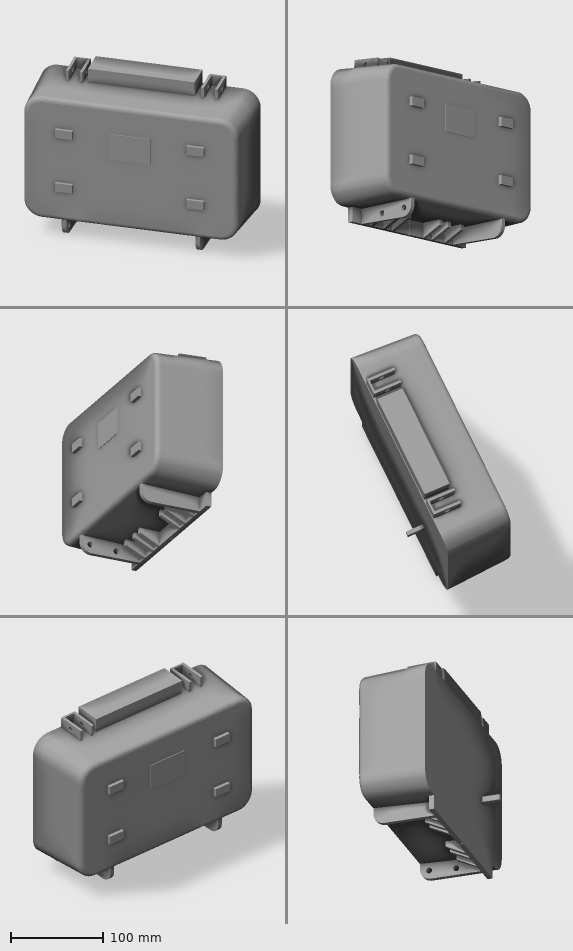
import cadquery as cq
import math


case_width = 248.0
case_height = 151.0
case_depth = 78.25
corner_radius = 20.0
front_inset = 3.5
front_fillet = 5.0
draft_angle = math.degrees(math.atan(front_inset / case_depth))

foot_width = 19.5
foot_height = 10.0
foot_depth = 4.0
foot_x = 74.1
upper_foot_z = 33.3
lower_foot_z = -31.0

screen_width = 47.5
screen_height = 30.8
screen_center_x = -0.6
screen_center_z = 24.3
screen_depth = 0.8
button_diameter = 8.3
button_center_z = 0.4
button_depth = 3.0

top_setback = 0.75
block_left_x = -61.5
block_split_x = -0.3
block_right_x = 58.8
block_length = 30.0
block_rise = 16.91
bracket_x = 76.2
bracket_width = 18.8
bracket_length = 32.8
bracket_rise = 13.0
bracket_wall = 3.1
bracket_back_wall = 2.4
bracket_hole_diameter = 6.27
bracket_hole_from_back = 17.2
bracket_hole_rise = 5.9
wall_embed = 3.0

hinge_bottom_z = -91.75
hinge_embed = 8.0
hinge_top_z = -case_height / 2 + hinge_embed
plate_half_span = 94.5
plate_gap = 0.75
plate_thickness = 5.9
long_tab_x = 75.4
long_tab_width = 5.4
long_tab_depth = 75.6
long_tab_radius = 12.5
tab_hole_diameter = 6.75
front_hole_depth = 65.2
front_hole_rise = 10.0
middle_hole_depth = 34.0
middle_hole_rise = 7.9
rib_x_positions = (26.15, 40.3, 61.5)
rib_width = 5.1
rib_depth = 29.0
rib_slope_top_z = -80.3

post_width = 4.7
post_height = 6.2
post_length = 20.0
post_center_x = -62.2
post_center_z = -12.6


def box(x_range, y_range, z_range):
    """Axis-aligned box between the given limits."""
    size = [limits[1] - limits[0] for limits in (x_range, y_range, z_range)]
    corner = (x_range[0], y_range[0], z_range[0])
    return cq.Workplane("XY").box(*size, centered=False).translate(corner)


def centered_range(center, size):
    return (center - size / 2, center + size / 2)


def make_shell():
    """Drafted case that narrows toward the front, with rounded corners and front edge."""
    shell = (
        cq.Workplane("XZ")
        .rect(case_width, case_height)
        .workplane(offset=case_depth)
        .rect(case_width - 2 * front_inset, case_height - 2 * front_inset)
        .loft(ruled=True)
    )
    shell = shell.edges("not(#Y)").fillet(corner_radius)
    return shell.faces("<Y").edges().fillet(front_fillet)


def on_top_wall(solid):
    """Tilt a solid built on a level plane at Z = 0 onto the drafted top wall."""
    tilted = solid.rotate((0, 0, 0), (1, 0, 0), draft_angle)
    return tilted.translate((0, 0, case_height / 2))


def make_block(x_range):
    """Handle block with its top parallel to the case wall."""
    block = box(x_range, (-top_setback - block_length, -top_setback), (-wall_embed, block_rise))
    return on_top_wall(block)


def make_bracket(center_x):
    """U-shaped bracket, open to the front, with a cross hole through both side walls."""
    front_y = -top_setback - bracket_length
    z_range = (-wall_embed, bracket_rise)
    outer = box(centered_range(center_x, bracket_width), (front_y, -top_setback), z_range)
    channel_width = bracket_width - 2 * bracket_wall
    channel_back_y = -top_setback - bracket_back_wall
    channel = box(centered_range(center_x, channel_width), (front_y, channel_back_y), z_range)
    hole = (
        cq.Workplane("YZ", origin=(center_x, -bracket_hole_from_back, bracket_hole_rise))
        .circle(bracket_hole_diameter / 2)
        .extrude(bracket_width, both=True)
    )
    return on_top_wall(outer.cut(channel).cut(hole))


def make_hinge_plate(side):
    x_range = sorted((side * plate_gap / 2, side * plate_half_span))
    return box(x_range, (-plate_thickness, 0), (hinge_bottom_z, hinge_top_z))


def make_long_tab(center_x):
    tab = box(
        centered_range(center_x, long_tab_width),
        (-long_tab_depth, 0),
        (hinge_bottom_z, hinge_top_z),
    )
    return tab.edges("|X and <Y and <Z").fillet(long_tab_radius)


def make_tab_holes(center_x):
    """Cutter for the two cross holes through a long hinge tab."""
    hole_points = [
        (-front_hole_depth, hinge_bottom_z + front_hole_rise),
        (-middle_hole_depth, hinge_bottom_z + middle_hole_rise),
    ]
    return (
        cq.Workplane("YZ", origin=(center_x, 0, 0))
        .pushPoints(hole_points)
        .circle(tab_hole_diameter / 2)
        .extrude(long_tab_width, both=True)
    )


def make_rib(center_x):
    """Short hinge rib whose lower edge slopes back to the hinge plate."""
    return (
        cq.Workplane("YZ", origin=(center_x, 0, 0))
        .moveTo(0, hinge_bottom_z)
        .lineTo(-plate_thickness, hinge_bottom_z)
        .lineTo(-rib_depth, rib_slope_top_z)
        .lineTo(-rib_depth, hinge_top_z)
        .lineTo(0, hinge_top_z)
        .close()
        .extrude(rib_width / 2, both=True)
    )


def make_foot(center_x, center_z):
    return box(
        centered_range(center_x, foot_width),
        (-case_depth - foot_depth, -case_depth + front_fillet),
        centered_range(center_z, foot_height),
    )


def make_screen():
    return box(
        centered_range(screen_center_x, screen_width),
        (-case_depth - screen_depth, -case_depth),
        centered_range(screen_center_z, screen_height),
    )


def make_button():
    """Round button lying flush with the front face."""
    return (
        cq.Workplane("XZ", origin=(0, -case_depth + button_depth, button_center_z))
        .circle(button_diameter / 2)
        .extrude(button_depth)
    )


def make_post():
    return box(
        centered_range(post_center_x, post_width),
        (0, post_length),
        centered_range(post_center_z, post_height),
    )


def make_housing(shell):
    """Case with its feet, top brackets and bottom hinge, recessed for the button."""
    housing = shell
    for side in (-1, 1):
        housing = housing.union(make_bracket(side * bracket_x))
        housing = housing.union(make_hinge_plate(side))
        housing = housing.union(make_long_tab(side * long_tab_x))
        for rib_x in rib_x_positions:
            housing = housing.union(make_rib(side * rib_x))
        for foot_z in (upper_foot_z, lower_foot_z):
            housing = housing.union(make_foot(side * foot_x, foot_z))
    housing = housing.cut(make_tab_holes(-long_tab_x))
    return housing.cut(make_button())


shell = make_shell()
housing = make_housing(shell)
left_block = make_block((block_left_x, block_split_x)).cut(shell)
right_block = make_block((block_split_x, block_right_x)).cut(shell)
screen = make_screen()
button = make_button()
post = make_post()

result = cq.Compound.makeCompound(
    [
        housing.val(),
        left_block.val(),
        right_block.val(),
        screen.val(),
        button.val(),
        post.val(),
    ]
)